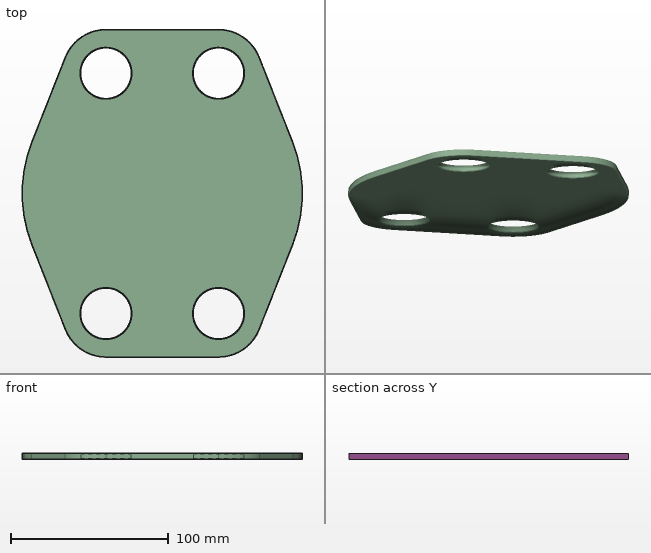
import cadquery as cq
import math

plate_width = 178.0
plate_length = 208.0
plate_thickness = 4.0
hole_diameter = 32.0
hole_chamfer = 0.5
outline_chamfer = 0.3
hole_spacing_x = 71.4
hole_spacing_y = 152.4

side_radius = plate_width / 2
corner_x = hole_spacing_x / 2
corner_y = hole_spacing_y / 2
corner_radius = plate_length / 2 - corner_y


def tangent_angle():
    """Direction of the normal shared by a side arc, its flank and a corner arc."""
    centre_distance = math.hypot(corner_x, corner_y)
    centre_direction = math.atan2(corner_y, corner_x)
    return centre_direction - math.acos((side_radius - corner_radius) / centre_distance)


def plate():
    """Flat plate with bulged sides, straight flanks, rounded corners and chamfered rims."""
    flank = tangent_angle()
    corner_mid = (flank + math.pi / 2) / 2

    def side_point(sx, sy):
        return sx * side_radius * math.cos(flank), sy * side_radius * math.sin(flank)

    def corner_point(angle, sx, sy):
        x = corner_x + corner_radius * math.cos(angle)
        y = corner_y + corner_radius * math.sin(angle)
        return sx * x, sy * y

    blank = (
        cq.Workplane("XY")
        .moveTo(*side_point(1, -1))
        .threePointArc((side_radius, 0), side_point(1, 1))
        .lineTo(*corner_point(flank, 1, 1))
        .threePointArc(corner_point(corner_mid, 1, 1), corner_point(math.pi / 2, 1, 1))
        .lineTo(*corner_point(math.pi / 2, -1, 1))
        .threePointArc(corner_point(corner_mid, -1, 1), corner_point(flank, -1, 1))
        .lineTo(*side_point(-1, 1))
        .threePointArc((-side_radius, 0), side_point(-1, -1))
        .lineTo(*corner_point(flank, -1, -1))
        .threePointArc(corner_point(corner_mid, -1, -1), corner_point(math.pi / 2, -1, -1))
        .lineTo(*corner_point(math.pi / 2, 1, -1))
        .threePointArc(corner_point(corner_mid, 1, -1), corner_point(flank, 1, -1))
        .close()
        .extrude(plate_thickness)
    )
    return blank.faces("|Z").edges().chamfer(outline_chamfer)


def bolt_hole():
    """Cutter for one through hole, flared at both ends to chamfer its rims."""
    bore_radius = hole_diameter / 2
    rim_radius = bore_radius + hole_chamfer
    profile = [
        (0, 0),
        (rim_radius, 0),
        (bore_radius, hole_chamfer),
        (bore_radius, plate_thickness - hole_chamfer),
        (rim_radius, plate_thickness),
        (0, plate_thickness),
    ]
    return cq.Workplane("XZ").polyline(profile).close().revolve(360, (0, 0), (0, 1))


def cut_bolt_holes(body):
    """Cut four holes, one at the centre of each corner arc."""
    for sx in (-1, 1):
        for sy in (-1, 1):
            body = body.cut(bolt_hole().translate((sx * corner_x, sy * corner_y, 0)))
    return body


result = cut_bolt_holes(plate())